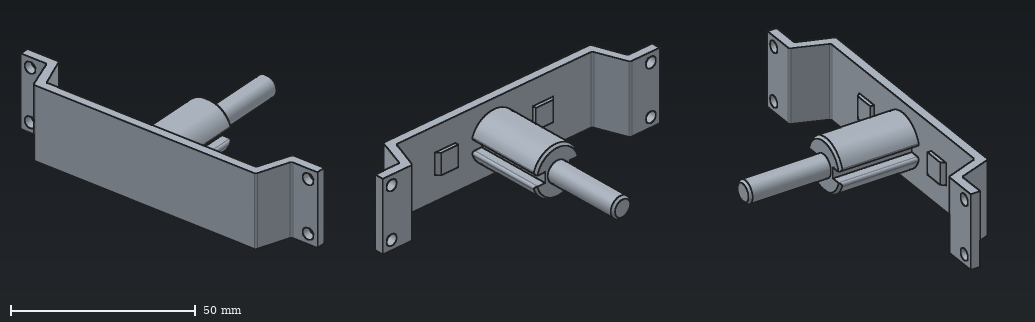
import cadquery as cq

length = 101.6
height = 24.0
thickness = 3.0
flange_back = 13.9
flange_front = flange_back - thickness
web_front_half = 38.0
web_back_half = 35.9
flange_front_start = 41.9
flange_back_start = 39.9
bend_radius = 0.7

hole_diameter = 3.7
hole_edge_distance = 3.3
hole_spacing_z = 17.3

boss_diameter = 16.9
boss_end = 28.5
shaft_diameter = 7.2
shaft_end = 54.5
end_chamfer = 0.8

groove_width = 3.5
groove_floor = 4.6
lip_radius = 0.8

pad_inner = 14.2
pad_outer = 21.7
pad_rise = 1.2
pad_height = 7.1


def make_bracket():
    right_side = [
        (web_front_half, 0),
        (flange_front_start, flange_front),
        (length / 2, flange_front),
        (length / 2, flange_back),
        (flange_back_start, flange_back),
        (web_back_half, thickness),
    ]
    left_side = [(-x, y) for x, y in reversed(right_side)]
    strip = (
        cq.Workplane("XY")
        .polyline(right_side + left_side)
        .close()
        .extrude(height / 2, both=True)
    )
    bend_edges = strip.edges("|Z").filter(
        lambda edge: abs(edge.Center().x) < length / 2 - thickness
    )
    strip = bend_edges.fillet(bend_radius)
    holes = (
        cq.Workplane("XZ")
        .rarray(length - 2 * hole_edge_distance, hole_spacing_z, 2, 2)
        .circle(hole_diameter / 2)
        .extrude(-shaft_end)
    )
    return strip.cut(holes)


def cylinder_along_y(diameter, start, end):
    return cq.Workplane("XZ", origin=(0, start, 0)).circle(diameter / 2).extrude(start - end)


def make_boss():
    boss_start = thickness / 2
    boss = cylinder_along_y(boss_diameter, boss_start, boss_end)
    groove_depth = boss_diameter / 2 - groove_floor
    for side in (-1, 1):
        groove = cq.Workplane("XY").box(2 * groove_depth, 2 * boss_end, groove_width)
        boss = boss.cut(groove.translate((side * boss_diameter / 2, boss_end, 0)))
    lips = boss.edges("|Y").filter(
        lambda edge: abs(edge.Center().x) > groove_floor + groove_depth / 2
    )
    boss = lips.fillet(lip_radius)
    envelope = cylinder_along_y(boss_diameter, 0, boss_end).faces(">Y").chamfer(end_chamfer)
    return boss.intersect(envelope)


def make_shaft():
    return cylinder_along_y(shaft_diameter, thickness, shaft_end).faces(">Y").chamfer(end_chamfer)


def make_pad(side):
    back = thickness + pad_rise
    profile = [
        (side * pad_inner, thickness / 2),
        (side * pad_inner, back),
        (side * (pad_outer - pad_rise), back),
        (side * pad_outer, thickness),
        (side * pad_outer, thickness / 2),
    ]
    return cq.Workplane("XY").polyline(profile).close().extrude(pad_height / 2, both=True)


result = make_bracket().union(make_boss()).union(make_shaft())
for pad_side in (-1, 1):
    result = result.union(make_pad(pad_side))